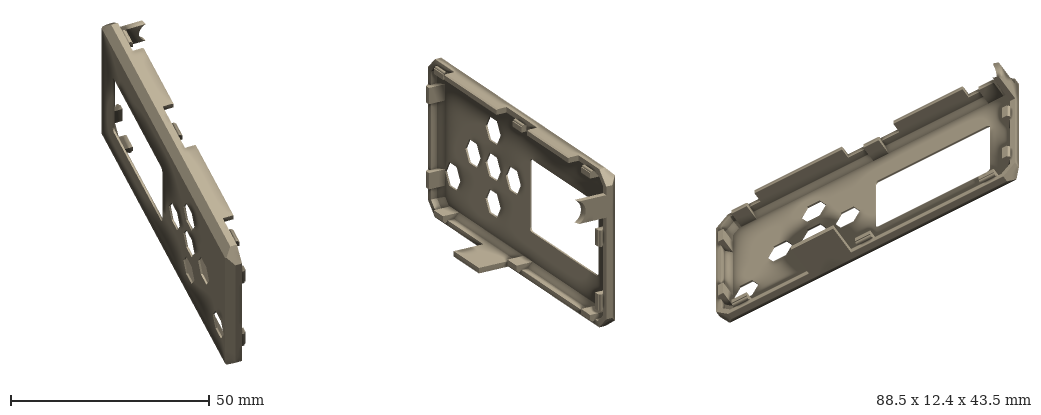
import cadquery as cq
import math

WIDTH = 88.5
HEIGHT = 43.5
RIM_DEPTH = 3.8
WALL = 1.5
FLOOR = 0.5
FRONT_CHAMFER = 2.0
CORNER_CUT = 3.5

WINDOW_WIDTH = 34.0
WINDOW_HEIGHT = 20.0
WINDOW_CENTER = (-17.75, -0.8)
WINDOW_RADIUS = 1.0

KEY_SIDES = 6
KEY_FLATS = 6.5
KEY_PITCH = 10.0
CROSS_X = 17.5
KEY_CENTERS = [
    (CROSS_X, 0),
    (CROSS_X, KEY_PITCH),
    (CROSS_X, -KEY_PITCH),
    (CROSS_X - KEY_PITCH, 0),
    (CROSS_X + KEY_PITCH, 0),
    (CROSS_X + 2 * KEY_PITCH, -KEY_PITCH),
]

SNAP_LENGTH = 4.5
SNAP_THICKNESS = 1.5
SNAP_BACK = 5.3
BEAD_RADIUS = 0.5
BEAD_CENTER_DEPTH = (RIM_DEPTH + SNAP_BACK) / 2
SNAP_END_X = 36.55
TOP_SNAPS_X = (-SNAP_END_X, -2.5, SNAP_END_X)
BOTTOM_SNAPS_X = (-SNAP_END_X, 0, SNAP_END_X)
LEFT_SNAPS_Z = (3.75, -13.85)
RIGHT_SNAPS_Z = (11.7, -11.7)

TOP_RAILS = ((-20.25, 20.5), (18.15, 25.9))
RAIL_BACK = 6.75
RAIL_BEVEL_DEPTH = 0.5
RAIL_BEVEL_HEIGHT = 0.2

TONGUE_CENTER_X = 10.55
TONGUE_WIDTH = 12.5
TONGUE_BACK = 12.45

ARM_CENTER_Z = 12.8
ARM_HEIGHT = 6.2
ARM_BACK = 12.4
NOTCH_RADIUS = 3.5
NOTCH_BOTTOM_OUTER = 9.85
NOTCH_BOTTOM_INNER = 10.35


def block(x_range, y_range, z_range):
    """Axis-aligned box given by its limits along X, Y and Z."""
    limits = (x_range, y_range, z_range)
    sizes = [high - low for low, high in limits]
    corner = tuple(low for low, high in limits)
    return cq.Workplane("XY").box(*sizes, centered=False).translate(corner)


def span(center, length):
    """Lower and upper limit of a length placed around a centre."""
    return (center - length / 2, center + length / 2)


def octagon_prism(inset, y_range):
    """Rim outline moved inward by an inset, between two depths."""
    front, back = y_range
    cut = CORNER_CUT - inset * (2 - math.sqrt(2))
    prism = block(
        span(0, WIDTH - 2 * inset),
        (front, back),
        span(0, HEIGHT - 2 * inset),
    )
    return prism.edges("|Y").chamfer(cut)


def make_shell():
    plate = block(span(0, WIDTH), (0, RIM_DEPTH), span(0, HEIGHT))
    plate = plate.faces("<Y").edges().chamfer(FRONT_CHAMFER)
    plate = plate.intersect(octagon_prism(0, (0, RIM_DEPTH)))
    cavity = octagon_prism(WALL, (FLOOR, RIM_DEPTH))
    cavity = cavity.faces("<Y").edges().chamfer(FRONT_CHAMFER - FLOOR)
    return plate.cut(cavity)


def make_window():
    x, z = WINDOW_CENTER
    window = block(span(x, WINDOW_WIDTH), (0, FLOOR), span(z, WINDOW_HEIGHT))
    return window.edges("|Y").fillet(WINDOW_RADIUS)


def make_keys():
    corner_diameter = KEY_FLATS / math.cos(math.pi / KEY_SIDES)
    return (
        cq.Workplane("XZ")
        .pushPoints(KEY_CENTERS)
        .polygon(KEY_SIDES, corner_diameter)
        .extrude(-FLOOR)
    )


def make_snap(position, wall_distance, angle):
    """Snap lip of the top wall at a position along it, turned about Y to another wall."""
    outer = wall_distance - WALL
    inner = outer - SNAP_THICKNESS
    profile_plane = cq.Workplane("YZ", origin=(position - SNAP_LENGTH / 2, 0, 0))
    lip = (
        profile_plane
        .moveTo(FLOOR, inner)
        .lineTo(SNAP_BACK, inner)
        .lineTo(SNAP_BACK, outer)
        .lineTo(FRONT_CHAMFER, outer)
        .close()
        .extrude(SNAP_LENGTH)
    )
    bead = (
        profile_plane
        .center(BEAD_CENTER_DEPTH, outer)
        .circle(BEAD_RADIUS)
        .extrude(SNAP_LENGTH)
    )
    return lip.union(bead).rotate((0, 0, 0), (0, 1, 0), angle)


def make_snaps():
    snaps = [make_snap(x, HEIGHT / 2, 0) for x in TOP_SNAPS_X]
    snaps += [make_snap(-x, HEIGHT / 2, 180) for x in BOTTOM_SNAPS_X]
    snaps += [make_snap(z, WIDTH / 2, -90) for z in LEFT_SNAPS_Z]
    snaps += [make_snap(-z, WIDTH / 2, 90) for z in RIGHT_SNAPS_Z]
    return snaps


def make_rail(center_x, length):
    """Rail profile in the YZ plane with a shallow bevel on its rear upper edge."""
    top = HEIGHT / 2
    return (
        cq.Workplane("YZ", origin=(center_x - length / 2, 0, 0))
        .moveTo(FRONT_CHAMFER, top)
        .lineTo(RAIL_BACK - RAIL_BEVEL_DEPTH, top)
        .lineTo(RAIL_BACK, top - RAIL_BEVEL_HEIGHT)
        .lineTo(RAIL_BACK, top - WALL)
        .lineTo(FRONT_CHAMFER, top - WALL)
        .close()
        .extrude(length)
    )


def make_tongue():
    bottom = -HEIGHT / 2
    return block(
        span(TONGUE_CENTER_X, TONGUE_WIDTH),
        (FRONT_CHAMFER, TONGUE_BACK),
        (bottom, bottom + WALL),
    )


def make_arm():
    left = -WIDTH / 2
    arm = block((left, left + WALL), (FRONT_CHAMFER, ARM_BACK), span(ARM_CENTER_Z, ARM_HEIGHT))
    drift = NOTCH_BOTTOM_INNER - NOTCH_BOTTOM_OUTER
    notch = (
        cq.Workplane("YZ", origin=(left, 0, 0))
        .center(NOTCH_BOTTOM_OUTER + NOTCH_RADIUS, ARM_CENTER_Z)
        .circle(NOTCH_RADIUS)
        .workplane(offset=WALL)
        .center(drift, 0)
        .circle(NOTCH_RADIUS)
        .loft(ruled=True)
    )
    return arm.cut(notch)


result = make_shell().cut(make_window()).cut(make_keys())
for snap in make_snaps():
    result = result.union(snap)
for rail_center, rail_length in TOP_RAILS:
    result = result.union(make_rail(rail_center, rail_length))
result = result.union(make_tongue()).union(make_arm())